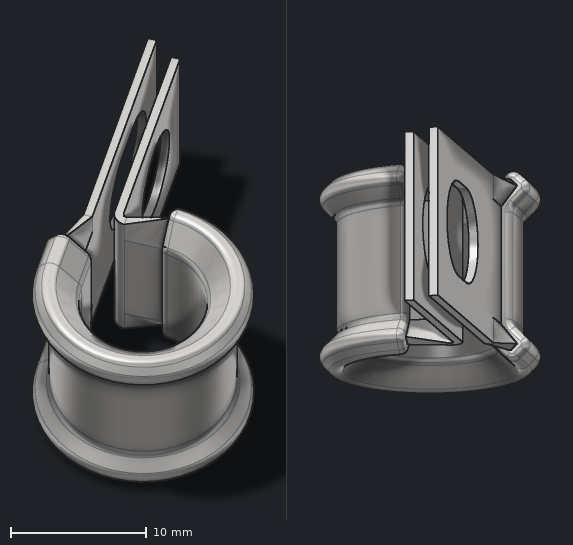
import cadquery as cq
import math


bore_radius = 4.76
cushion_thickness = 2.19
flare_radius = 8.215
cushion_height = 14.37
corner_radius = 0.75
end_round = 0.5
straight_length = 3.05
sweep_angle = 270

strap_thickness = 0.69
strap_inner = 5.51
strap_outer = strap_inner + strap_thickness
tab_width = 12.76
embed_depth = 1.0

long_tab_end = 22.585
short_tab_end = 21.4
short_tab_face = -4.06
bend_inner_radius = 0.31
hole_y = 15.02
hole_diameter = 7.15
slot_length = 9.52

flare_start_z = 4.47
flare_tip_outer = 7.39
flare_tip_outer_z = 5.98
tip_shift = strap_thickness / math.sqrt(2)
flare_tip_inner = flare_tip_outer - tip_shift
flare_tip_inner_z = flare_tip_outer_z + tip_shift
long_flare_length = 2.51


def cushion_section():
    """Constant-thickness wall whose rims flare out at 45 degrees, on the -X side."""
    rounding_loss = (math.sqrt(2) - 1) * corner_radius
    rim_shift = cushion_thickness / math.sqrt(2)
    wall_outer = bore_radius + cushion_thickness
    rim_outer_r = flare_radius + rounding_loss
    rim_inner_r = rim_outer_r - rim_shift
    rim_inner_z = cushion_height / 2 + rounding_loss
    rim_outer_z = rim_inner_z - rim_shift
    upper_half = [
        (-wall_outer, rim_outer_z - (rim_outer_r - wall_outer)),
        (-rim_outer_r, rim_outer_z),
        (-rim_inner_r, rim_inner_z),
        (-bore_radius, rim_inner_z - (rim_inner_r - bore_radius)),
    ]
    lower_half = [(x, -z) for x, z in reversed(upper_half)]
    outline = upper_half + lower_half
    return cq.Sketch().polygon(outline + outline[:1]).vertices().fillet(corner_radius)


def make_cushion():
    section = cushion_section()
    ring = cq.Workplane("XZ").placeSketch(section).revolve(sweep_angle, (0, 0, 0), (0, 1, 0))
    straight = cq.Workplane("XZ").placeSketch(section).extrude(-straight_length)
    cushion = ring.union(straight)

    reach = 2 * flare_radius
    pick_margin = 0.01
    straight_end = cq.selectors.BoxSelector(
        (-reach, straight_length - pick_margin, -reach),
        (0, straight_length + pick_margin, reach),
    )
    ring_end = cq.selectors.BoxSelector(
        (-pick_margin, 0, -reach),
        (pick_margin, reach, reach),
    )
    cushion = cushion.edges(straight_end).fillet(end_round)
    return cushion.edges(ring_end).fillet(end_round)


def flared_corner(to_point, root, tip):
    """Upper strap corner, flat at root and turned outward at tip, and its mirror.

    to_point(distance, along, z) places a point at a distance from the ring axis,
    measured across the strap, and at a position along the strap.
    """
    flat = [
        to_point(strap_inner, root, flare_start_z),
        to_point(strap_outer, root, flare_start_z),
        to_point(strap_outer, root, tab_width / 2),
        to_point(strap_inner, root, tab_width / 2),
    ]
    flared = [
        to_point(strap_inner, tip, flare_start_z),
        to_point(strap_outer, tip, flare_start_z),
        to_point(flare_tip_outer, tip, flare_tip_outer_z),
        to_point(flare_tip_inner, tip, flare_tip_inner_z),
    ]
    wires = []
    for points in (flat, flared):
        corners = [cq.Vector(*point) for point in points]
        wires.append(cq.Wire.makePolygon(corners, close=True))
    ruled = True
    upper = cq.Workplane(cq.Solid.makeLoft(wires, ruled))
    return upper.union(upper.mirror("XY"))


def make_long_tab():
    root = straight_length + long_flare_length
    neck_start = straight_length - embed_depth
    tab = cq.Workplane("XY").box(
        strap_thickness, long_tab_end - root, tab_width, centered=(False, False, True)
    ).translate((-strap_outer, root, 0))
    neck = cq.Workplane("XY").box(
        strap_thickness, root - neck_start, 2 * flare_start_z, centered=(False, False, True)
    ).translate((-strap_outer, neck_start, 0))
    corners = flared_corner(lambda d, y, z: (-d, y, z), root, straight_length)
    slot = (
        cq.Workplane("YZ", origin=(-strap_outer, 0, 0))
        .center(hole_y, 0)
        .slot2D(slot_length, hole_diameter)
        .extrude(strap_thickness)
    )
    return tab.union(neck).union(corners).cut(slot)


def make_short_tab():
    inner_face = short_tab_face + strap_thickness
    root = inner_face + bend_inner_radius
    outer_bend = bend_inner_radius + strap_thickness
    tab = (
        cq.Workplane("XY")
        .moveTo(short_tab_face, short_tab_end)
        .lineTo(short_tab_face, strap_inner + outer_bend)
        .radiusArc((root, strap_inner), -outer_bend)
        .lineTo(root, strap_outer)
        .radiusArc((inner_face, strap_outer + bend_inner_radius), bend_inner_radius)
        .lineTo(inner_face, short_tab_end)
        .close()
        .extrude(tab_width / 2, both=True)
    )
    neck = cq.Workplane("XY").box(
        embed_depth - root, strap_thickness, 2 * flare_start_z, centered=(False, False, True)
    ).translate((root, strap_inner, 0))
    corners = flared_corner(lambda d, x, z: (x, d, z), root, 0)
    hole = (
        cq.Workplane("YZ", origin=(short_tab_face, 0, 0))
        .center(hole_y, 0)
        .circle(hole_diameter / 2)
        .extrude(strap_thickness)
    )
    return tab.union(neck).union(corners).cut(hole)


result = make_cushion().union(make_long_tab()).union(make_short_tab())